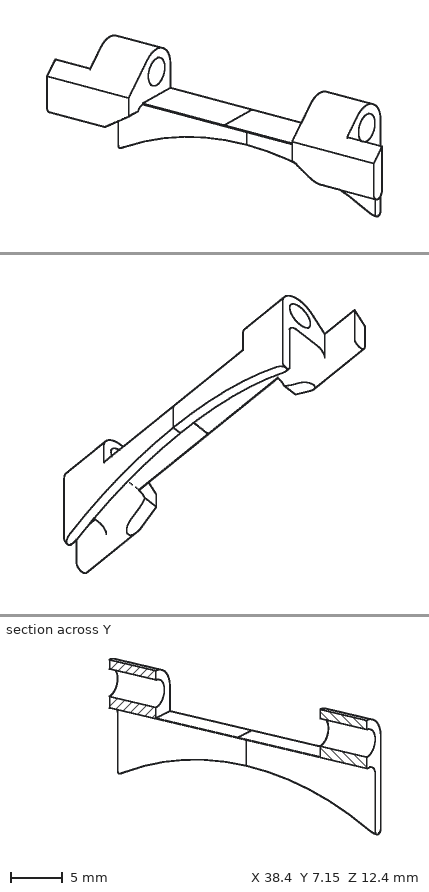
import cadquery as cq
import math


half_length = 19.2
ear_outer = 15.1
ear_inner = 9.6

ear_radius = 2.4
bore_diameter = 2.8
front_y = -4.75
back_y = ear_radius
wall_thickness = 0.95
hook_thickness = 1.42
slope_foot_z = -1.1
hook_bottom_z = -5.1
wall_bottom_z = -9.95
roof_z = -2.6
channel_fillet = 1.0

strip_top_z = -2.5
strip_front_y = -ear_radius

relief_top_z = -3.07
relief_bottom_z = -5.65
relief_run = 4.05

arch_crown_z = -5.88

wall_front_y = back_y - wall_thickness
hook_back_y = front_y + hook_thickness
arch_drop = arch_crown_z - wall_bottom_z
arch_radius = (ear_outer**2 + arch_drop**2) / (2 * arch_drop)

foot_distance = math.hypot(front_y, slope_foot_z)
tangent_angle = math.atan2(slope_foot_z, front_y) - math.acos(ear_radius / foot_distance)
tangent_y = ear_radius * math.cos(tangent_angle)
tangent_z = ear_radius * math.sin(tangent_angle)
slope = (tangent_z - slope_foot_z) / (tangent_y - front_y)
hook_top_z = slope_foot_z + slope * hook_thickness


def box(x_range, y_range, z_range):
    """Box given by its limits along each axis."""
    sizes = [high - low for low, high in (x_range, y_range, z_range)]
    corner = (x_range[0], y_range[0], z_range[0])
    return cq.Workplane("XY").box(*sizes, centered=False).translate(corner)


def make_section():
    """Full ear, wall and hook section, from the centre plane to the ear's outer face."""
    hook_round = hook_thickness / 2
    wall_round = wall_thickness / 2
    section = (
        cq.Workplane("YZ")
        .moveTo(back_y, 0)
        .threePointArc((0, ear_radius), (tangent_y, tangent_z))
        .lineTo(front_y, slope_foot_z)
        .lineTo(front_y, hook_bottom_z + hook_round)
        .threePointArc((front_y + hook_round, hook_bottom_z), (hook_back_y, hook_bottom_z + hook_round))
        .lineTo(hook_back_y, roof_z - channel_fillet)
        .radiusArc((hook_back_y + channel_fillet, roof_z), channel_fillet)
        .lineTo(wall_front_y - channel_fillet, roof_z)
        .radiusArc((wall_front_y, roof_z - channel_fillet), channel_fillet)
        .lineTo(wall_front_y, wall_bottom_z + wall_round)
        .threePointArc((back_y - wall_round, wall_bottom_z), (back_y, wall_bottom_z + wall_round))
        .close()
    )
    return section.extrude(ear_outer)


def make_hook_end():
    """Length of the hook that projects beyond the ear."""
    hook_round = hook_thickness / 2
    return (
        cq.Workplane("YZ", origin=(ear_outer, 0, 0))
        .moveTo(front_y, slope_foot_z)
        .lineTo(front_y, hook_bottom_z + hook_round)
        .threePointArc((front_y + hook_round, hook_bottom_z), (hook_back_y, hook_bottom_z + hook_round))
        .lineTo(hook_back_y, hook_top_z)
        .close()
        .extrude(half_length - ear_outer)
    )


def make_relief():
    """Triangular prism that slants the inner end of the hook."""
    return (
        cq.Workplane("XZ", origin=(0, front_y, 0))
        .moveTo(ear_inner, relief_top_z)
        .lineTo(ear_inner + relief_run, relief_bottom_z)
        .lineTo(ear_inner, relief_bottom_z)
        .close()
        .extrude(front_y - strip_front_y)
    )


def make_right_half():
    """One half of the bracket, on the +X side of the centre plane."""
    inner_span = (0, ear_inner)
    above_strip = box(inner_span, (front_y, back_y), (strip_top_z, ear_radius))
    before_strip = box(inner_span, (front_y, strip_front_y), (hook_bottom_z, ear_radius))
    bore = cq.Workplane("YZ").circle(bore_diameter / 2).extrude(ear_outer)
    arch = (
        cq.Workplane("XZ", origin=(0, back_y, arch_crown_z - arch_radius))
        .circle(arch_radius)
        .extrude(wall_thickness)
    )
    half = make_section().cut(above_strip).cut(before_strip).cut(bore).cut(arch)
    return half.union(make_hook_end()).cut(make_relief())


right_half = make_right_half()
left_half = right_half.mirror("YZ")

result = cq.Compound.makeCompound([left_half.val(), right_half.val()])